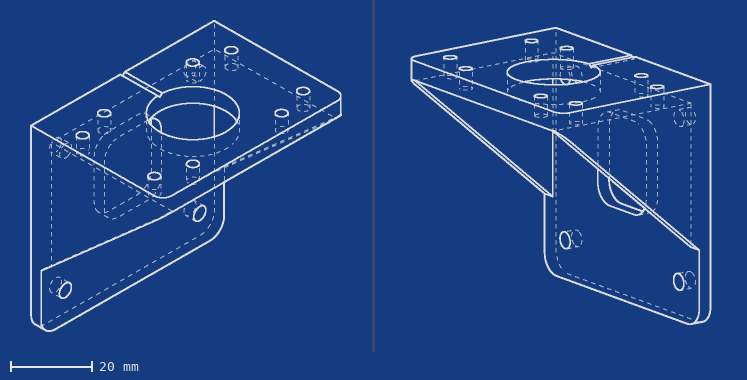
import cadquery as cq

depth = 46.0
width = 64.0
height = 62.0

wall_thickness = 3.5
top_thickness = 5.0
gusset_thickness = wall_thickness
gusset_drop = 42.0
wall_corner_radius = 5.0
top_corner_radius = 3.0

bore_diameter = 23.0
bore_x = 24.5
top_hole_diameter = 3.2
inner_hole_pitch = 31.0
outer_hole_pitch_x = 25.0
outer_hole_pitch_y = 52.0

wall_hole_diameter = 4.2
wall_hole_pitch_y = 47.0
wall_hole_edge_distance = 10.0
window_width = 20.0
window_height = 24.0
window_top_gap = 15.0
window_corner_radius = 5.0

groove_width = 1.6
groove_depth = groove_width / 2


def bracket_body():
    """Side profile across the full width, hollowed between two side gussets."""
    outer = (
        cq.Workplane("XZ")
        .polyline([
            (0, 0),
            (depth, 0),
            (depth, -top_thickness),
            (wall_thickness, -gusset_drop),
            (wall_thickness, -height),
            (0, -height),
        ])
        .close()
        .extrude(width / 2, both=True)
    )
    hollow = cq.Workplane("XY").box(
        depth, width - 2 * gusset_thickness, height, centered=(False, True, False)
    ).translate((wall_thickness, 0, -top_thickness - height))
    return outer.cut(hollow)


def round_corners(body):
    """Round the free corners of the top plate and of the wall."""
    top_outline = (
        cq.Workplane("XY")
        .box(depth, width, height, centered=(False, True, False))
        .edges("|Z and >X").fillet(top_corner_radius)
        .translate((0, 0, -height))
    )
    wall_outline = (
        cq.Workplane("XY")
        .box(depth, width, height, centered=(False, True, False))
        .edges("|X and <Z").fillet(wall_corner_radius)
        .translate((0, 0, -height))
    )
    return body.intersect(top_outline).intersect(wall_outline)


def top_cutters():
    """Motor bore and two rectangular hole patterns through the top plate."""
    plane = cq.Workplane("XY").center(bore_x, 0)
    bore = plane.circle(bore_diameter / 2).extrude(-top_thickness)
    inner_holes = (
        plane.rect(inner_hole_pitch, inner_hole_pitch, forConstruction=True)
        .vertices().circle(top_hole_diameter / 2).extrude(-top_thickness)
    )
    outer_holes = (
        plane.rect(outer_hole_pitch_x, outer_hole_pitch_y, forConstruction=True)
        .vertices().circle(top_hole_diameter / 2).extrude(-top_thickness)
    )
    return bore.union(inner_holes).union(outer_holes)


def wall_cutters():
    """Window and four mounting holes through the wall."""
    window_z = -window_top_gap - window_height / 2
    window = (
        cq.Workplane("YZ").center(0, window_z)
        .rect(window_width, window_height).extrude(wall_thickness)
        .edges("|X").fillet(window_corner_radius)
    )
    hole_pitch_z = height - 2 * wall_hole_edge_distance
    holes = (
        cq.Workplane("YZ").center(0, -height / 2)
        .rect(wall_hole_pitch_y, hole_pitch_z, forConstruction=True)
        .vertices().circle(wall_hole_diameter / 2).extrude(wall_thickness)
    )
    return window.union(holes)


def groove_cutter():
    """V groove along X in the upper face, ending inside the bore."""
    return (
        cq.Workplane("YZ")
        .polyline([(-groove_width / 2, 0), (groove_width / 2, 0), (0, -groove_depth)])
        .close()
        .extrude(bore_x)
    )


bracket = round_corners(bracket_body())
result = bracket.cut(top_cutters()).cut(wall_cutters()).cut(groove_cutter())